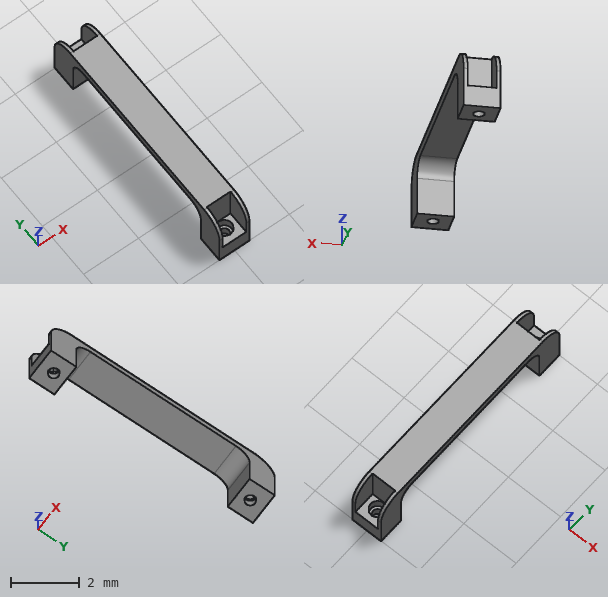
import cadquery as cq

width = 1.1
length = 8.03
height = 1.97

leg_length = 0.91
grip_thickness = 0.31
outer_radius = 0.755
inner_radius = 0.5

pocket_width = 0.86
pocket_length = 0.77
pocket_floor = 0.65

hole_spacing = 7.05
hole_diameter = 0.34
counterbore_diameter = 0.53
counterbore_depth = 0.33


def handle_body():
    """Bridge-shaped bar with rounded outer and inner corners."""
    outer = cq.Workplane("XY").box(width, length, height, centered=(True, True, False))
    outer = outer.edges("|X and >Z").fillet(outer_radius)
    opening_height = height - grip_thickness
    opening = cq.Workplane("XY").box(
        width, length - 2 * leg_length, opening_height, centered=(True, True, False)
    )
    opening = opening.edges("|X and >Z").fillet(inner_radius)
    return outer.cut(opening)


def screw_pocket(side):
    """Pocket cutter at the end of the handle given by side (-1 or 1)."""
    return (
        cq.Workplane("XY", origin=(0, side * (length - pocket_length) / 2, pocket_floor))
        .box(pocket_width, pocket_length, height - pocket_floor, centered=(True, True, False))
    )


def screw_hole(side):
    """Through hole with a counterbore sunk into the pocket floor."""
    hole_y = side * hole_spacing / 2
    through = cq.Workplane("XY", origin=(0, hole_y, 0)).circle(hole_diameter / 2).extrude(pocket_floor)
    counterbore = (
        cq.Workplane("XY", origin=(0, hole_y, pocket_floor - counterbore_depth))
        .circle(counterbore_diameter / 2)
        .extrude(counterbore_depth)
    )
    return through.union(counterbore)


result = handle_body()
for end in (-1, 1):
    result = result.cut(screw_pocket(end)).cut(screw_hole(end))